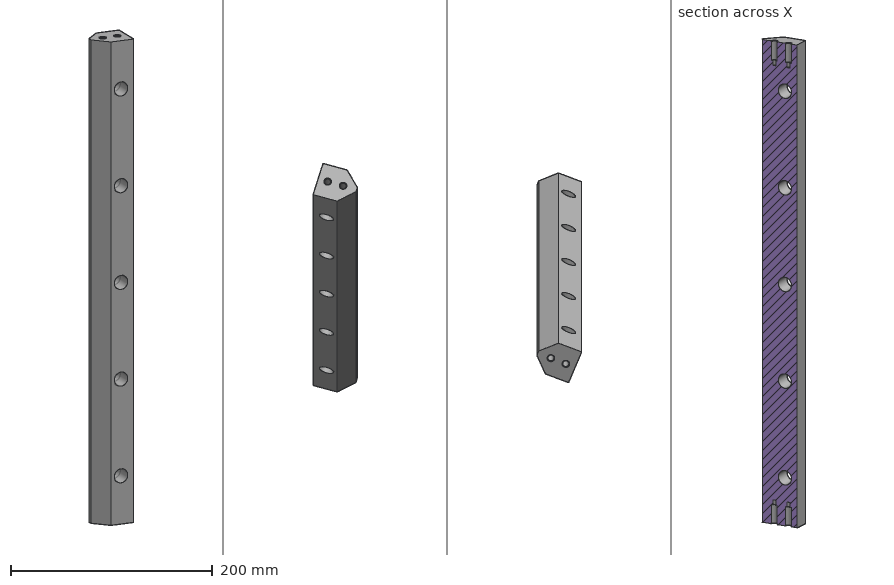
import cadquery as cq

length = 500.0
width = 35.0
depth = 40.0

nose_flat = 5.0
nose_depth = (width - nose_flat) / 2

back_chamfer = 0.5

cross_hole_diameter = 14.5
cross_hole_count = 5
cross_hole_pitch = length / cross_hole_count
cross_hole_from_back = 14.0

end_holes_from_back = (10.0, 26.0)
end_mouth_diameter = 7.5
end_bore_diameter = 6.0
end_bore_depth = 20.0
end_pilot_diameter = 3.0
end_pilot_length = 5.0

back_y = depth / 2
front_y = -depth / 2


def make_bar():
    """Extrude the six-sided profile along Z and bevel its back edges."""
    shoulder_y = front_y + nose_depth
    profile = [
        (-width / 2, back_y),
        (-width / 2, shoulder_y),
        (-nose_flat / 2, front_y),
        (nose_flat / 2, front_y),
        (width / 2, shoulder_y),
        (width / 2, back_y),
    ]
    bar = cq.Workplane("XY").polyline(profile).close().extrude(length)
    return bar.faces(">Y").edges("|Z").chamfer(back_chamfer)


def make_cross_holes():
    """Row of evenly spaced cylinders running across the full width."""
    hole_y = back_y - cross_hole_from_back
    centres = [(hole_y, (i + 0.5) * cross_hole_pitch) for i in range(cross_hole_count)]
    return (
        cq.Workplane("YZ")
        .pushPoints(centres)
        .circle(cross_hole_diameter / 2)
        .extrude(width / 2, both=True)
    )


def make_end_hole(hole_y):
    """Stepped round cutter that goes down from the top face."""
    mouth_radius = end_mouth_diameter / 2
    bore_radius = end_bore_diameter / 2
    pilot_radius = end_pilot_diameter / 2
    mouth_z = length - (mouth_radius - bore_radius)
    bore_z = length - end_bore_depth
    pilot_z = bore_z - end_pilot_length
    half_section = [
        (0, length),
        (mouth_radius, length),
        (bore_radius, mouth_z),
        (bore_radius, bore_z),
        (pilot_radius, bore_z),
        (pilot_radius, pilot_z),
        (0, pilot_z),
    ]
    cutter = cq.Workplane("XZ").polyline(half_section).close().revolve(360, (0, 0), (0, 1))
    return cutter.translate((0, hole_y, 0))


result = make_bar().cut(make_cross_holes())

for distance in end_holes_from_back:
    top_hole = make_end_hole(back_y - distance)
    bottom_hole = top_hole.mirror("XY", (0, 0, length / 2))
    result = result.cut(top_hole).cut(bottom_hole)